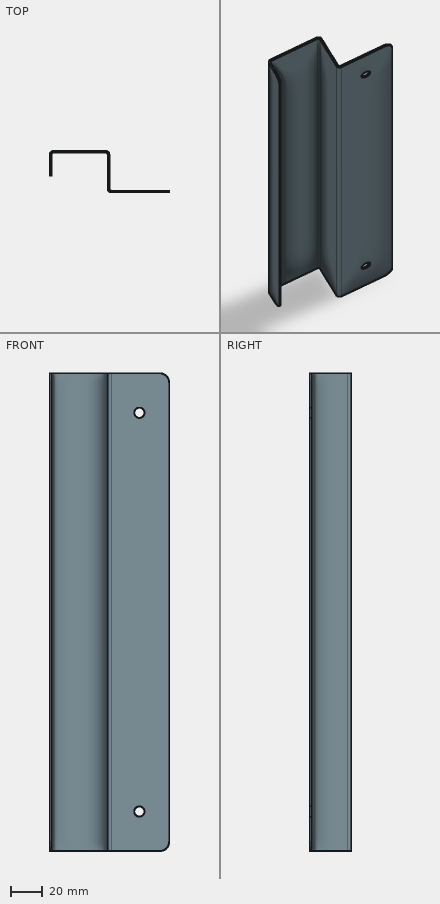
import cadquery as cq

width = 76.2
depth = 26.5
height = 304.8
thickness = 1.2

inner_bend_radius = 1.2
outer_bend_radius = inner_bend_radius + thickness

channel_width = width / 2
lip_depth = 16.0
corner_radius = 6.0

hole_diameter = 6.5
hole_end_distance = 25.3
hole_x = (channel_width + width) / 2


def folded_sheet():
    """Extrude the lip, back, web and flange profile and round its bends."""
    web_left = channel_width - thickness
    back_front = depth - thickness
    lip_end = depth - lip_depth
    profile = [
        (0, lip_end),
        (0, depth),
        (channel_width, depth),
        (channel_width, thickness),
        (width, thickness),
        (width, 0),
        (web_left, 0),
        (web_left, back_front),
        (thickness, back_front),
        (thickness, lip_end),
    ]
    sheet = cq.Workplane("XY").polyline(profile).close().extrude(height)

    outer_bends = [(0, depth), (channel_width, depth), (web_left, 0)]
    inner_bends = [(thickness, back_front), (web_left, back_front), (channel_width, thickness)]
    for points, radius in ((outer_bends, outer_bend_radius), (inner_bends, inner_bend_radius)):
        for x, y in points:
            edge = cq.selectors.NearestToPointSelector((x, y, height / 2))
            sheet = sheet.edges("|Z").edges(edge).fillet(radius)
    return sheet


def round_free_corners(sheet):
    """Round both ends of the flange edge and of the lip edge."""
    sheet = sheet.faces(">X").edges("|Y").fillet(corner_radius)
    lip_edge = cq.selectors.NearestToPointSelector((thickness / 2, depth - lip_depth, height / 2))
    return sheet.faces(lip_edge).edges("|X").fillet(corner_radius)


def mounting_holes():
    """Cylinders through the flange, one near each end."""
    centers = [(hole_x, z) for z in (hole_end_distance, height - hole_end_distance)]
    return cq.Workplane("XZ").pushPoints(centers).circle(hole_diameter / 2).extrude(-depth)


result = round_free_corners(folded_sheet()).cut(mounting_holes())